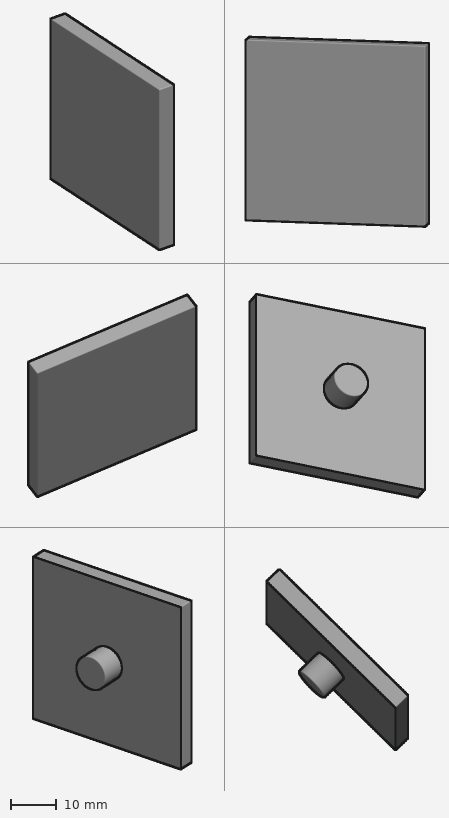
import cadquery as cq

plate_side = 40.0
plate_thickness = 4.0
edge_round = 0.25

stud_diameter = 8.0
stud_length = 6.0
stud_end_round = 0.25


def make_plate():
    """Plate with its front face at Y = 0, rounded on the front rim and the four corners."""
    plate = cq.Workplane("XY").box(
        plate_side, plate_thickness, plate_side, centered=(True, False, True)
    )
    return plate.edges("|Y or <Y").fillet(edge_round)


def make_stud():
    """Stud along +Y from the back face, with a rounded free end."""
    stud = (
        cq.Workplane("XZ", origin=(0, plate_thickness, 0))
        .circle(stud_diameter / 2)
        .extrude(-stud_length)
    )
    return stud.faces(">Y").edges().fillet(stud_end_round)


result = make_plate().union(make_stud())